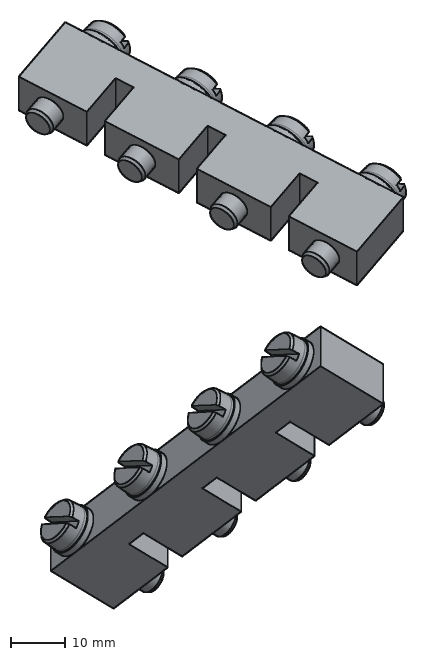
import cadquery as cq

length = 75.1
height = 10.0
depth = 15.55
station_count = 4
station_pitch = 20.4
slot_width = 4.0
slot_depth = 9.6

pin_diameter = 6.0
pin_tip_diameter = 5.3
pin_tip_length = 0.7
pin_projection = 4.0

cap_height = 4.95
flange_diameter = height
flange_thickness = 1.35
collar_thickness = 0.7
collar_diameter = 9.5
crown_diameter = 9.1
crown_chamfer = 0.45
driver_slot_width = 1.4
driver_slot_depth = 2.0
driver_slot_angle = 33.0

first_station = -station_pitch * (station_count - 1) / 2
station_places = [first_station + i * station_pitch for i in range(station_count)]
slot_places = [x + station_pitch / 2 for x in station_places[:-1]]


def make_housing():
    """Bar with open slots between the stations and a through bore at each one."""
    body = cq.Workplane("XY").box(length, depth, height, centered=(True, False, True))
    for x in slot_places:
        slot = cq.Workplane("XY").box(slot_width, slot_depth, height, centered=(True, False, True))
        body = body.cut(slot.translate((x, 0, 0)))
    for x in station_places:
        bore = cq.Workplane("XZ").circle(pin_diameter / 2).extrude(-depth)
        body = body.cut(bore.translate((x, 0, 0)))
    return body


def make_pin(x):
    """Round pin with a conical front tip, ending flush with the housing back."""
    radius = pin_diameter / 2
    profile = [
        (0, -pin_projection),
        (pin_tip_diameter / 2, -pin_projection),
        (radius, pin_tip_length - pin_projection),
        (radius, depth),
        (0, depth),
    ]
    pin = cq.Workplane("XY").polyline(profile).close().revolve(360, (0, 0, 0), (0, 1, 0))
    return pin.translate((x, 0, 0))


def make_cap(x):
    """Flange, collar and tapered crown, with a slot across the end face."""
    collar_end = flange_thickness + collar_thickness
    crown_radius = crown_diameter / 2
    profile = [
        (0, 0),
        (flange_diameter / 2, 0),
        (flange_diameter / 2, flange_thickness),
        (collar_diameter / 2, flange_thickness),
        (collar_diameter / 2, collar_end),
        (crown_radius, cap_height - crown_chamfer),
        (crown_radius - crown_chamfer, cap_height),
        (0, cap_height),
    ]
    cap = cq.Workplane("XY").polyline(profile).close().revolve(360, (0, 0, 0), (0, 1, 0))
    driver_slot = (
        cq.Workplane("XY")
        .box(flange_diameter, driver_slot_depth, driver_slot_width, centered=(True, False, True))
        .rotate((0, 0, 0), (0, 1, 0), -driver_slot_angle)
        .translate((0, cap_height - driver_slot_depth, 0))
    )
    return cap.cut(driver_slot).translate((x, depth, 0))


housing = make_housing()
pins = [make_pin(x).val() for x in station_places]
caps = [make_cap(x).val() for x in station_places]

result = cq.Compound.makeCompound([housing.val(), *pins, *caps])